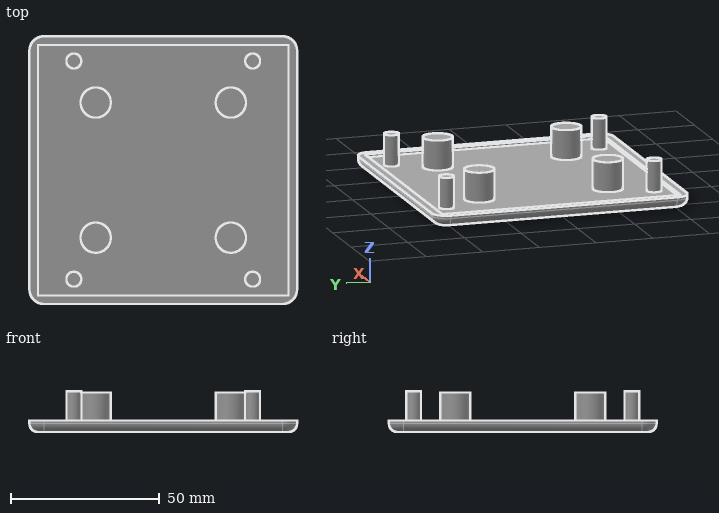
import cadquery as cq

side = 90.0
plate_height = 4.0
corner_radius = 5.0
bottom_round = 3.0

rim_width = 3.0
recess_depth = 1.0
recess_side = side - 2 * rim_width
floor_z = plate_height - recess_depth

pin_diameter = 5.0
pin_top_z = 13.8
pin_spacing_x = 60.0
pin_spacing_y = 73.3

boss_diameter = 10.2
boss_top_z = 13.3
boss_spacing = 45.4


def make_plate():
    """Rounded square plate with a rounded bottom edge and a sharp-cornered recess."""
    plate = cq.Workplane("XY").rect(side, side).extrude(plate_height)
    plate = plate.edges("|Z").fillet(corner_radius)
    plate = plate.faces("<Z").edges().fillet(bottom_round)
    recess = (
        cq.Workplane("XY", origin=(0, 0, floor_z))
        .rect(recess_side, recess_side)
        .extrude(recess_depth)
    )
    return plate.cut(recess)


def make_posts(spacing_x, spacing_y, diameter, top_z):
    """Four round posts on a rectangle, standing on the recess floor."""
    return (
        cq.Workplane("XY", origin=(0, 0, floor_z))
        .rect(spacing_x, spacing_y, forConstruction=True)
        .vertices()
        .circle(diameter / 2)
        .extrude(top_z - floor_z)
    )


pins = make_posts(pin_spacing_x, pin_spacing_y, pin_diameter, pin_top_z)
bosses = make_posts(boss_spacing, boss_spacing, boss_diameter, boss_top_z)

result = make_plate().union(pins).union(bosses)